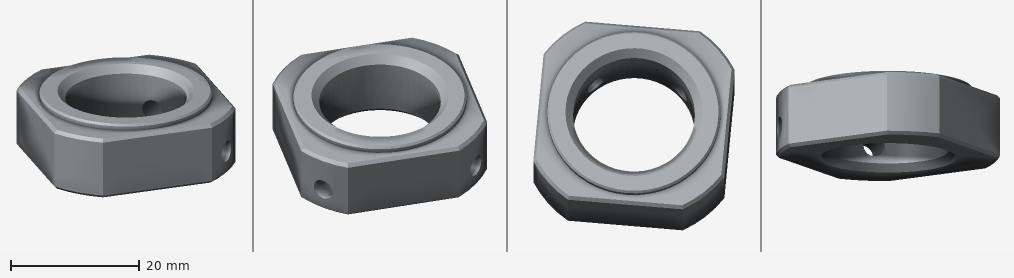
import cadquery as cq

body_diameter = 34.95
across_flats = 29.95
body_height = 10.0
body_chamfer = 0.5

collar_diameter = 27.0
total_height = 11.0
collar_chamfer = 0.3

bore_diameter = 19.0
bore_chamfer = 1.2

radial_hole_diameter = 3.4
radial_hole_height = 4.0
radial_hole_angles = (0, 90)


def make_body():
    disc = cq.Workplane("XY").circle(body_diameter / 2).extrude(body_height)
    flats = (
        cq.Workplane("XY")
        .rect(across_flats, across_flats)
        .extrude(body_height)
        .rotate((0, 0, 0), (0, 0, 1), 45)
    )
    return disc.intersect(flats).faces("<Z or >Z").chamfer(body_chamfer)


def make_collar():
    collar = cq.Workplane("XY").circle(collar_diameter / 2).extrude(total_height)
    return collar.faces(">Z").chamfer(collar_chamfer)


def make_bore():
    bore_radius = bore_diameter / 2
    mouth_radius = bore_radius + bore_chamfer
    return (
        cq.Workplane("XZ")
        .moveTo(0, 0)
        .lineTo(mouth_radius, 0)
        .lineTo(bore_radius, bore_chamfer)
        .lineTo(bore_radius, total_height - bore_chamfer)
        .lineTo(mouth_radius, total_height)
        .lineTo(0, total_height)
        .close()
        .revolve(360, (0, 0), (0, 1))
    )


def make_radial_hole(angle):
    hole = (
        cq.Workplane("YZ")
        .center(0, radial_hole_height)
        .circle(radial_hole_diameter / 2)
        .extrude(body_diameter)
    )
    return hole.rotate((0, 0, 0), (0, 0, 1), angle)


result = make_body().union(make_collar()).cut(make_bore())
for hole_angle in radial_hole_angles:
    result = result.cut(make_radial_hole(hole_angle))